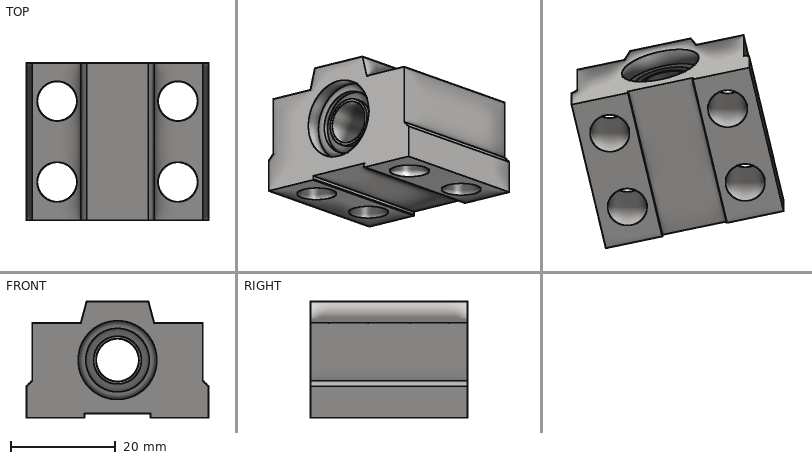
import cadquery as cq
import math

length = 30.0
base_width = 34.7
body_width = 32.5
total_height = 22.2
base_height = 6.0
shoulder_height = 18.1

ridge_foot_width = 14.0
ridge_flank_angle = 15.0

relief_roof_width = 12.65
relief_depth = 0.8
relief_undercut_angle = 9.5
relief_edge_bevel = 0.15

bore_height = 11.0
bore_diameter = 8.1
counterbore_diameter = 15.0
counterbore_depth = 3.0
groove_outer_diameter = 12.1
groove_inner_diameter = 9.1
groove_depth = 1.0

mount_hole_diameter = 7.5
mount_spacing_x = 23.0
mount_spacing_y = 15.4


def make_block():
    """Constant cross-section, centred on X and Y, standing on Z = 0."""
    half_base = base_width / 2
    half_body = body_width / 2
    half_foot = ridge_foot_width / 2
    bevel = half_base - half_body
    ridge_height = total_height - shoulder_height
    half_crest = half_foot - ridge_height * math.tan(math.radians(ridge_flank_angle))
    half_roof = relief_roof_width / 2
    undercut_slope = math.tan(math.radians(relief_undercut_angle))
    half_throat = half_roof - (relief_depth - relief_edge_bevel) * undercut_slope
    half_mouth = half_roof - relief_depth * undercut_slope + relief_edge_bevel
    right_side = [
        (half_roof, relief_depth),
        (half_throat, relief_edge_bevel),
        (half_mouth, 0),
        (half_base, 0),
        (half_base, base_height),
        (half_body, base_height + bevel),
        (half_body, shoulder_height),
        (half_foot, shoulder_height),
        (half_crest, total_height),
    ]
    left_side = [(-x, z) for x, z in reversed(right_side)]
    section = cq.Workplane("XZ").polyline(right_side + left_side).close()
    return section.extrude(length / 2, both=True)


def bore_ring(outer_diameter, inner_diameter, start_y, depth):
    """Ring on the bore axis, from start_y towards +Y; a zero inner diameter makes it solid."""
    axis_plane = cq.Workplane("XZ", origin=(0, start_y, bore_height))
    profile = axis_plane.circle(outer_diameter / 2)
    if inner_diameter > 0:
        profile = profile.circle(inner_diameter / 2)
    return profile.extrude(-depth)


def cut_bore(body):
    """Through bore, with a counterbore and a face groove in its floor at each end."""
    front_face = -length / 2
    bore = bore_ring(bore_diameter, 0, front_face, length)
    counterbore = bore_ring(counterbore_diameter, 0, front_face, counterbore_depth)
    groove_start = front_face + counterbore_depth
    groove = bore_ring(groove_outer_diameter, groove_inner_diameter, groove_start, groove_depth)
    body = body.cut(bore)
    for recess in (counterbore, groove):
        body = body.cut(recess).cut(recess.mirror("XZ"))
    return body


def cut_mount_holes(body):
    """Four plain through holes, two on each side of the ridge."""
    holes = (
        cq.Workplane("XY")
        .rarray(mount_spacing_x, mount_spacing_y, 2, 2)
        .circle(mount_hole_diameter / 2)
        .extrude(total_height)
    )
    return body.cut(holes)


result = cut_mount_holes(cut_bore(make_block()))